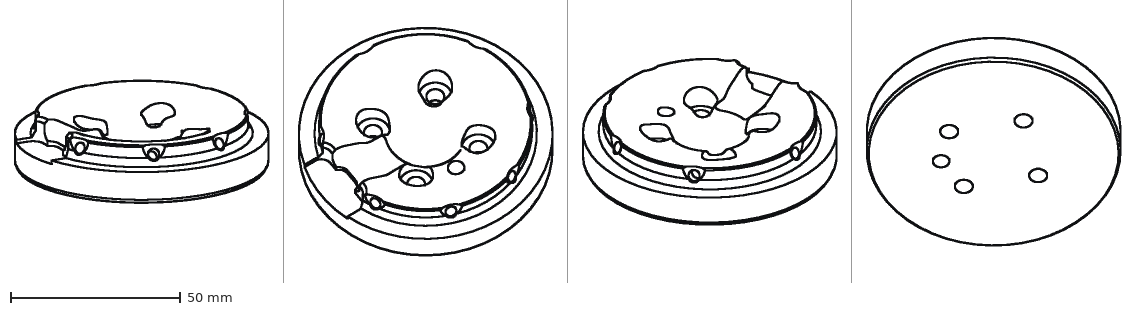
import cadquery as cq
import math

flange_radius = 37.5
flange_top = 9.75
flange_chamfer_width = 0.6
flange_chamfer_height = 1.1
collar_radius = 31.5
collar_chamfer = 0.45
skirt_radius = 32.85
skirt_top = 12.15
part_height = 16.0

lip_radius = 28.3
bowl_angle = 30.0
bowl_blend = 6.0
ledge_depth = 5.0
ledge_radius = 13.7

well_depth = 8.5
well_top_blend = 2.0
well_floor_blend = 3.0

bolt_circle_radius = 15.8
bolt_angles = (45, 135, 225, 315)
bolt_hole_diameter = 5.3
counterbore_diameter = 10.0
counterbore_floor = 6.0
vent_hole_diameter = 4.9

channel_half_width = 7.0
channel_floor = 10.0
channel_blend = 3.0

notch_half_width = 11.2
notch_floor = 8.6
notch_inner_y = -28.7
notch_corner_radius = 3.3
notch_chamfer = 1.1
tongue_half_width = 5.0
tongue_inner_y = -26.6
tongue_corner_radius = 3.0

drill_angles = (180, 63.4, -63.4, 116.6, -116.6, 20.7, -20.7)
drill_tilt = 24.0
drill_radius = 1.65
drill_depth = 7.5
drill_start_radius = 30.9
drill_start_height = 13.1
mouth_half_angle = 59.0
mouth_length = 1.65


def revolved(profile):
    """Turn an (r, z) outline drawn on XZ around the Z axis."""
    return profile.close().revolve(360, (0, 0, 0), (0, 1, 0))


def arc_drop(radius, degrees):
    """Sideways and downward travel of an arc that bends away from horizontal."""
    angle = math.radians(degrees)
    return radius * math.sin(angle), radius * (1 - math.cos(angle))


def make_body():
    profile = (
        cq.Workplane("XZ")
        .moveTo(0, 0)
        .lineTo(flange_radius - flange_chamfer_width, 0)
        .lineTo(flange_radius, flange_chamfer_height)
        .lineTo(flange_radius, flange_top)
        .lineTo(skirt_radius, flange_top)
        .lineTo(collar_radius, skirt_top)
        .lineTo(collar_radius, part_height - collar_chamfer)
        .lineTo(collar_radius - collar_chamfer, part_height)
        .lineTo(0, part_height)
    )
    return revolved(profile)


def make_bowl():
    ledge_z = part_height - ledge_depth
    floor_z = part_height - well_depth

    blend_run, blend_fall = arc_drop(bowl_blend, bowl_angle)
    mid_run, mid_fall = arc_drop(bowl_blend, bowl_angle / 2)
    slope_fall = ledge_depth - 2 * blend_fall
    slope_run = slope_fall / math.tan(math.radians(bowl_angle))
    slope_top = (lip_radius - blend_run, part_height - blend_fall)
    slope_foot = (slope_top[0] - slope_run, ledge_z + blend_fall)
    wall_foot_radius = slope_foot[0] - blend_run

    well_fall = ledge_z - floor_z
    well_angle = math.degrees(math.acos(1 - well_fall / (well_top_blend + well_floor_blend)))
    top_run, top_fall = arc_drop(well_top_blend, well_angle)
    top_mid_run, top_mid_fall = arc_drop(well_top_blend, well_angle / 2)
    floor_run, _ = arc_drop(well_floor_blend, well_angle)
    floor_mid_run, floor_mid_fall = arc_drop(well_floor_blend, well_angle / 2)
    well_joint = (ledge_radius - top_run, ledge_z - top_fall)
    floor_radius = well_joint[0] - floor_run

    profile = (
        cq.Workplane("XZ")
        .moveTo(0, part_height)
        .lineTo(lip_radius, part_height)
        .threePointArc((lip_radius - mid_run, part_height - mid_fall), slope_top)
        .lineTo(*slope_foot)
        .threePointArc((wall_foot_radius + mid_run, ledge_z + mid_fall), (wall_foot_radius, ledge_z))
        .lineTo(ledge_radius, ledge_z)
        .threePointArc((ledge_radius - top_mid_run, ledge_z - top_mid_fall), well_joint)
        .threePointArc((floor_radius + floor_mid_run, floor_z + floor_mid_fall), (floor_radius, floor_z))
        .lineTo(0, floor_z)
    )
    return revolved(profile)


def make_bolt_holes():
    places = [
        (bolt_circle_radius * math.cos(math.radians(a)), bolt_circle_radius * math.sin(math.radians(a)))
        for a in bolt_angles
    ]
    holes = cq.Workplane("XY").pushPoints(places).circle(bolt_hole_diameter / 2).extrude(part_height)
    counterbores = (
        cq.Workplane("XY", origin=(0, 0, counterbore_floor))
        .pushPoints(places)
        .circle(counterbore_diameter / 2)
        .extrude(part_height - counterbore_floor)
    )
    return holes.union(counterbores)


def make_vent_hole():
    return (
        cq.Workplane("XY")
        .center(bolt_circle_radius, 0)
        .circle(vent_hole_diameter / 2)
        .extrude(part_height)
    )


def block(half_width, inner_y, floor_z):
    """Box from inner_y out to the front of the flange, and from floor_z up to the top."""
    return (
        cq.Workplane("XY", origin=(0, -flange_radius, floor_z))
        .box(
            2 * half_width,
            flange_radius + inner_y,
            part_height - floor_z,
            centered=(True, False, False),
        )
    )


def make_channel():
    channel = block(channel_half_width, 0, channel_floor)
    return channel.edges("|Y and <Z").fillet(channel_blend)


def make_notch():
    notch = block(notch_half_width, notch_inner_y, notch_floor)
    notch = notch.edges("|Z and >Y").fillet(notch_corner_radius)
    tongue = block(tongue_half_width, tongue_inner_y, notch_floor)
    tongue = tongue.edges("|Z and >Y").fillet(tongue_corner_radius)
    bevel = (
        notch.faces(">Z")
        .wires()
        .toPending()
        .extrude(notch_chamfer, taper=-45, combine=False)
        .translate((0, 0, -notch_chamfer))
    )
    return notch.union(tongue).union(bevel)


def make_drilling(angle):
    """Tilted blind hole with a conical mouth, on the collar at the given angle."""
    drill = cq.Workplane("XY").circle(drill_radius).extrude(-drill_depth)
    mouth_radius = drill_radius + mouth_length * math.tan(math.radians(mouth_half_angle))
    mouth = cq.Workplane(cq.Solid.makeCone(drill_radius, mouth_radius, mouth_length))
    return (
        drill.union(mouth)
        .rotate((0, 0, 0), (0, 1, 0), 90 - drill_tilt)
        .translate((drill_start_radius, 0, drill_start_height))
        .rotate((0, 0, 0), (0, 0, 1), angle)
    )


result = make_body().cut(make_bowl()).cut(make_bolt_holes()).cut(make_vent_hole())
result = result.cut(make_channel()).cut(make_notch())
for drill_angle in drill_angles:
    result = result.cut(make_drilling(drill_angle))